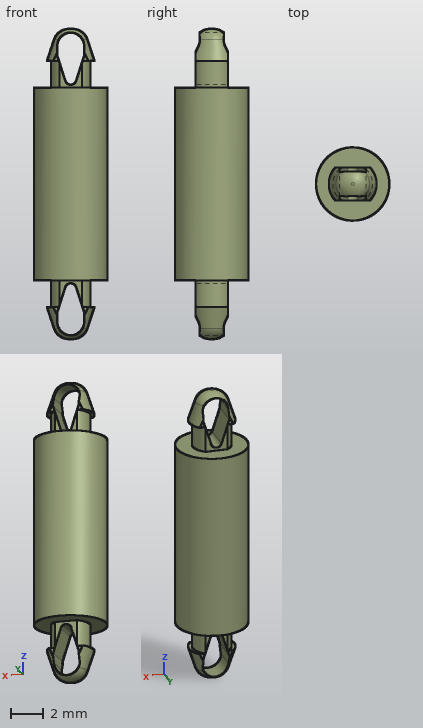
import cadquery as cq
import math

total_length = 19.4
body_diameter = 4.6
body_length = 12.03
half_body = body_length / 2
clip_length = (total_length - body_length) / 2

shank_radius = 1.25
clip_thickness = 2.04
barb_height = 1.67
barb_radius = 1.5
tip_flat_radius = 0.1
dome_radius = 1.0
cone_angle = math.radians(18.9)

tip_wall = 0.25
opening_radius = 0.83
opening_floor = 0.2
floor_radius = 0.35
opening_corner_height = 2.0


def clip_solid():
    """Revolve the clip about Z, standing on the origin, and trim its flats."""
    dome_center_height = clip_length - dome_radius

    def dome_point(angle):
        return (
            tip_flat_radius + dome_radius * math.cos(angle),
            dome_center_height + dome_radius * math.sin(angle),
        )

    middle_angle = (cone_angle + math.pi / 2) / 2
    revolved = (
        cq.Workplane("XZ")
        .lineTo(shank_radius, 0)
        .lineTo(shank_radius, barb_height)
        .lineTo(barb_radius, barb_height)
        .lineTo(*dome_point(cone_angle))
        .threePointArc(dome_point(middle_angle), (tip_flat_radius, clip_length))
        .lineTo(0, clip_length)
        .close()
        .revolve(360, (0, 0, 0), (0, 1, 0))
    )
    flats = cq.Workplane("XY").box(
        2 * barb_radius, clip_thickness, clip_length, centered=(True, True, False)
    )
    return revolved.intersect(flats)


def clip_opening():
    """Teardrop prism whose sloping sides are tangent to its rounded floor."""
    arch_center_height = clip_length - tip_wall - opening_radius
    floor_center_height = opening_floor + floor_radius

    corner_rise = opening_corner_height - floor_center_height
    corner_distance = math.hypot(opening_radius, corner_rise)
    tangent_angle = math.atan2(corner_rise, opening_radius) - math.acos(floor_radius / corner_distance)
    tangent_x = floor_radius * math.cos(tangent_angle)
    tangent_height = floor_center_height + floor_radius * math.sin(tangent_angle)

    return (
        cq.Workplane("XZ")
        .moveTo(-tangent_x, tangent_height)
        .threePointArc((0, opening_floor), (tangent_x, tangent_height))
        .lineTo(opening_radius, opening_corner_height)
        .lineTo(opening_radius, arch_center_height)
        .threePointArc((0, clip_length - tip_wall), (-opening_radius, arch_center_height))
        .lineTo(-opening_radius, opening_corner_height)
        .close()
        .extrude(clip_thickness, both=True)
    )


body = cq.Workplane("XY").cylinder(body_length, body_diameter / 2)
upper_clip = clip_solid().cut(clip_opening()).translate((0, 0, half_body))
lower_clip = upper_clip.mirror("XY")

result = body.union(upper_clip).union(lower_clip)